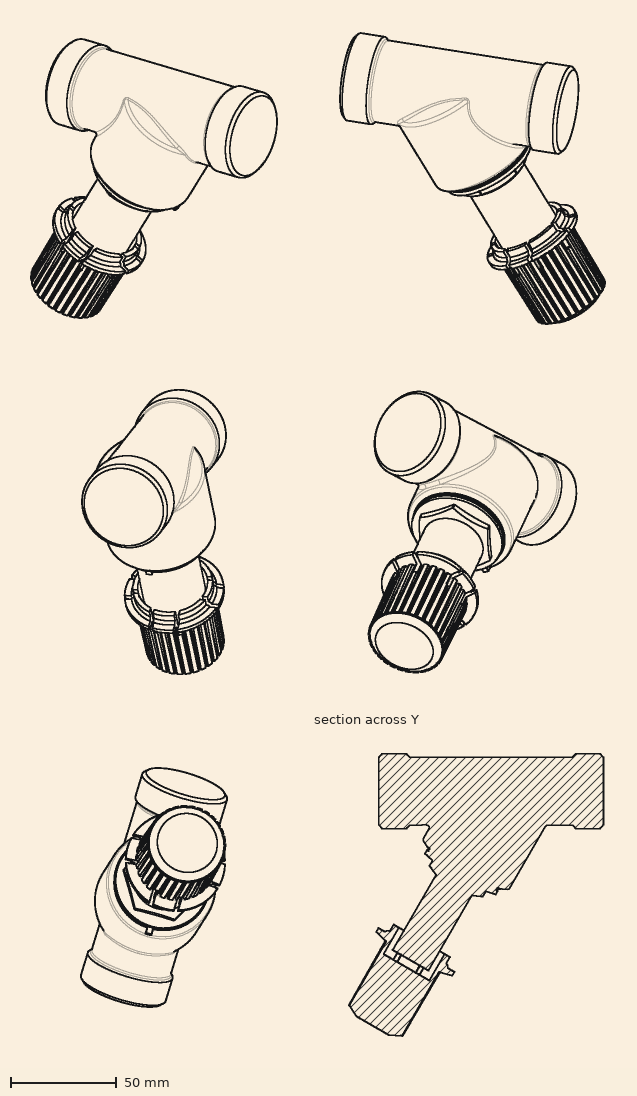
import cadquery as cq
import math

tolerance = 0.01

pipe_length = 106.1
pipe_radius = 19.6
collar_radius = 21.0
collar_length = 13.2
collar_chamfer = 1.5
pipe_half = pipe_length / 2
collar_end = pipe_half - collar_length
step_end = collar_end - (collar_radius - pipe_radius)
collar_fillet = 1.4

branch_tilt = 30.0
branch_x = 8.0
body_radius = 26.1
body_end = 40.1
shoulder_slope = 30.0
shoulder_fillet = 2.1
blend_fillet = 1.4
body_end_fillet = 1.4
mouth_radius = 22.8
mouth_level = 42.0

neck_radius = 21.7
flange_radius = 22.4
flange_top = 43.3
flange_rim = 45.3
nut_flats = 33.9
nut_top = 46.7
nut_corner_radius = 19.5
nut_end = 51.3
nut_bevel = 30.0
ring_radius = 22.2
ring_top = 42.4
ring_bottom = 42.9
lug_reach = 25.5
lug_width = 2.8
lug_top = 40.8

stem_radius = 14.9
stem_end = 92.2
spindle_radius = 4.2

sleeve_radius = 19.0
sleeve_bore_radius = 16.7
sleeve_top = 81.5
rim_radius = 23.6
rim_top = 86.5
rim_bottom = 88.8
rim_root = 90.2
rim_fillet = 1.4
slot_width = 2.0
slot_offset = 6.1
slot_end = 96.0
grip_radius = 17.9
grip_end = 125.3
handle_end = 128.0
handle_end_radius = 14.3
rib_count = 30
rib_end = 125.2
rib_tip_width = 2.0
rib_base_width = 3.0
rib_top_radius = 19.2
rib_bottom_radius = 18.6


def turned(points):
    """Solid of revolution about local Z from a closed (radius, level) outline."""
    return cq.Workplane("XZ").polyline(points).close().revolve(360, (0, 0, 0), (0, 1, 0))


def cylinder(radius, start, end):
    return cq.Workplane("XY").workplane(offset=start).circle(radius).extrude(end - start)


def on_branch(shape):
    """Carry a shape built along local Z onto the inclined branch axis."""
    tilt = math.radians(branch_tilt)
    frame = cq.Plane(
        origin=(branch_x, 0, 0),
        xDir=(math.cos(tilt), 0, -math.sin(tilt)),
        normal=(-math.sin(tilt), 0, -math.cos(tilt)),
    )
    return cq.Workplane(shape.val().moved(cq.Location(frame)))


def make_pipe():
    end = [
        (step_end, pipe_radius), (collar_end, collar_radius), (pipe_half - collar_chamfer, collar_radius),
        (pipe_half, collar_radius - collar_chamfer), (pipe_half, 0),
    ]
    opposite_end = [(-x, radius) for x, radius in reversed(end)]
    pipe = (
        cq.Workplane("XZ").polyline(end + opposite_end).close()
        .revolve(360, (0, 0, 0), (1, 0, 0))
    )

    def at_foot(edge):
        return abs(abs(edge.Center().x) - step_end) < tolerance

    return pipe.edges("%CIRCLE").filter(at_foot).fillet(collar_fillet)


def make_body():
    apex = -body_radius * math.tan(math.radians(shoulder_slope))
    body = turned([
        (0, apex), (body_radius, 0), (body_radius, body_end),
        (mouth_radius, mouth_level), (0, mouth_level),
    ])

    def at_level(level):
        return lambda edge: abs(edge.Center().z - level) < tolerance

    body = body.edges("%CIRCLE").filter(at_level(0)).fillet(shoulder_fillet)
    return body.edges("%CIRCLE").filter(at_level(body_end)).fillet(body_end_fillet)


def blend_crotch(housing):
    """Fillet the curve where the branch body leaves the pipe surface."""
    def on_crotch(edge):
        sample_fractions = [0.2, 0.5, 0.8]
        points = edge.positions(sample_fractions)
        inside_collars = all(abs(p.x) < step_end - collar_fillet - tolerance for p in points)
        on_pipe = all(abs(math.hypot(p.y, p.z) - pipe_radius) < tolerance for p in points)
        return inside_collars and on_pipe and edge.geomType() != "LINE"

    return housing.edges().filter(on_crotch).fillet(blend_fillet)


def make_flange():
    nut_inradius = nut_flats / 2
    return turned([
        (0, body_end), (neck_radius, body_end),
        (neck_radius, ring_top), (ring_radius, ring_top),
        (ring_radius, ring_bottom), (neck_radius, ring_bottom),
        (neck_radius, flange_top), (flange_radius, flange_top),
        (flange_radius, flange_rim), (nut_inradius, nut_top), (0, nut_top),
    ])


def make_lug():
    height = flange_top - lug_top
    blank = (
        cq.Workplane("XY").workplane(offset=lug_top)
        .center(lug_reach / 2, 0).rect(lug_reach, lug_width).extrude(height)
    )
    return blank.intersect(cylinder(lug_reach, lug_top, flange_top))


def make_nut():
    sides = 6
    half_sector = 180 / sides
    corner_diameter = nut_flats / math.cos(math.radians(half_sector))
    hexagon = (
        cq.Workplane("XY").workplane(offset=flange_rim)
        .polygon(sides, corner_diameter).extrude(nut_end - flange_rim)
        .rotate((0, 0, 0), (0, 0, 1), half_sector)
    )
    bevel_start = nut_end - (nut_corner_radius - stem_radius) * math.tan(math.radians(nut_bevel))
    envelope = turned([
        (0, flange_rim), (nut_corner_radius, flange_rim), (nut_corner_radius, bevel_start),
        (stem_radius, nut_end), (0, nut_end),
    ])
    return hexagon.intersect(envelope)


def make_handle():
    shell = (
        cq.Workplane("XZ")
        .moveTo(sleeve_bore_radius, sleeve_top)
        .lineTo(sleeve_radius, sleeve_top)
        .lineTo(sleeve_radius, rim_top - rim_fillet)
        .radiusArc((sleeve_radius + rim_fillet, rim_top), -rim_fillet)
        .lineTo(rim_radius, rim_top)
        .lineTo(rim_radius, rim_bottom)
        .lineTo(sleeve_radius, rim_root)
        .lineTo(grip_radius, rim_root)
        .lineTo(grip_radius, grip_end)
        .lineTo(handle_end_radius, handle_end)
        .lineTo(0, handle_end)
        .lineTo(0, slot_end)
        .lineTo(sleeve_bore_radius, slot_end)
        .close()
        .revolve(360, (0, 0, 0), (0, 1, 0))
    )
    rib = make_rib()
    pitch = 360 / rib_count
    for i in range(rib_count):
        shell = shell.union(rib.rotate((0, 0, 0), (0, 0, 1), (i + 0.5) * pitch))
    return shell.cut(make_slots())


def make_rib():
    """One grip rib on local +X: sloped flanks, and a tip that draws in towards the handle end."""
    root_radius = (sleeve_bore_radius + grip_radius) / 2
    blank = (
        cq.Workplane("XY").workplane(offset=rim_bottom)
        .polyline([
            (root_radius, -rib_base_width / 2), (grip_radius, -rib_base_width / 2),
            (rib_top_radius, -rib_tip_width / 2), (rib_top_radius, rib_tip_width / 2),
            (grip_radius, rib_base_width / 2), (root_radius, rib_base_width / 2),
        ])
        .close()
        .extrude(rib_end - rim_bottom)
    )
    envelope = turned([
        (0, rim_bottom), (rib_top_radius, rim_bottom), (rib_bottom_radius, rib_end), (0, rib_end),
    ])
    return blank.intersect(envelope)


def make_slots():
    """Two parallel pairs of slots, crossing at right angles, through sleeve, rim and top of the grip."""
    length = 2 * rim_radius
    depth = slot_end - sleeve_top
    slot = cq.Workplane("XY").workplane(offset=sleeve_top).rect(slot_width, length).extrude(depth)
    slots = cq.Workplane("XY")
    for turn in (0, 90):
        for side in (1, -1):
            placed = slot.translate((side * slot_offset, 0, 0)).rotate((0, 0, 0), (0, 0, 1), turn)
            slots = slots.add(placed)
    return slots.combine()


stem = cylinder(stem_radius, flange_rim, stem_end)
spindle = cylinder(spindle_radius, stem_end, slot_end)

result = blend_crotch(make_pipe().union(on_branch(make_body())))
for piece in (make_flange(), make_lug(), make_nut(), stem, spindle, make_handle()):
    result = result.union(on_branch(piece))